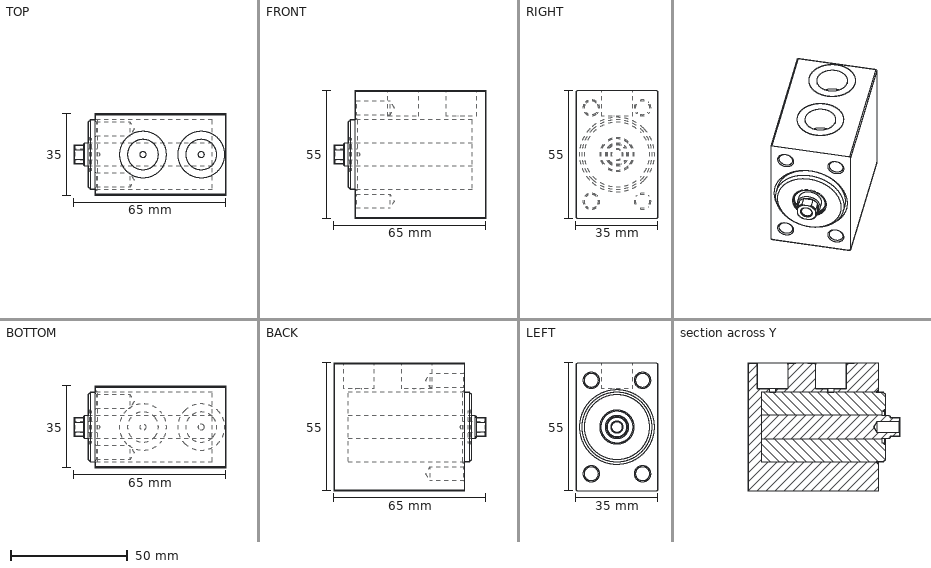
import cadquery as cq
import math


total_length = 65.0
protrusion = 9.05
housing_length = total_length - protrusion
housing_width = 35.0
housing_height = 55.0
edge_chamfer = 0.5

bore_diameter = 29.95
bore_depth = 50.05
mouth_chamfer = 1.05
gland_stand_out = 3.0
gland_chamfer = 1.05
wiper_outer_diameter = 14.7
wiper_outer_depth = 0.5
wiper_inner_diameter = 13.65
wiper_depth = 1.5

rod_diameter = 10.0
rod_chamfer = 0.5
neck_diameter = 9.0
neck_length = 4.0
neck_across_flats = 8.0
tip_chamfer = 0.3
tip_hole_diameter = 4.55
tip_hole_mouth_diameter = 5.2
tip_hole_depth = 9.75

mount_pitch_y = 22.0
mount_pitch_z = 40.05
mount_diameter = 6.0
mount_mouth_diameter = 7.0
mount_depth = 14.95

port_first_x = 20.5
port_pitch = 24.95
port_diameter = 13.1
port_depth = 11.05
spotface_diameter = 20.0
spotface_depth = 0.1
feed_diameter = 2.6

drill_point_angle = 118.0

gland_face_x = -gland_stand_out
neck_root_x = neck_length - protrusion
port_xs = [port_first_x, port_first_x + port_pitch]


def cylinder_x(diameter, start_x, end_x):
    """A solid cylinder on the X axis."""
    return cq.Workplane("YZ", origin=(start_x, 0, 0)).circle(diameter / 2).extrude(end_x - start_x)


def cylinder_down(x, diameter, top_z, bottom_z):
    """A solid vertical cylinder in the plane Y = 0."""
    return cq.Workplane("XY", origin=(x, 0, top_z)).circle(diameter / 2).extrude(bottom_z - top_z)


def drilled_hole(start_x, diameter, mouth_diameter, depth):
    """A blind hole along +X with a 45 degree countersunk mouth and a conical drill point."""
    radius = diameter / 2
    mouth_radius = mouth_diameter / 2
    point_length = radius / math.tan(math.radians(drill_point_angle / 2))
    return (
        cq.Workplane("XY", origin=(start_x, 0, 0))
        .lineTo(0, mouth_radius)
        .lineTo(mouth_radius - radius, radius)
        .lineTo(depth, radius)
        .lineTo(depth + point_length, 0)
        .close()
        .revolve(360, (0, 0, 0), (1, 0, 0))
    )


def make_bore():
    """The housing bore with a 45 degree chamfer at its mouth."""
    radius = bore_diameter / 2
    return (
        cq.Workplane("XY")
        .lineTo(0, radius + mouth_chamfer)
        .lineTo(mouth_chamfer, radius)
        .lineTo(bore_depth, radius)
        .lineTo(bore_depth, 0)
        .close()
        .revolve(360, (0, 0, 0), (1, 0, 0))
    )


def make_port(x):
    """An oil port: shallow spotface, main hole and a feed hole that reaches the bore."""
    top_z = housing_height / 2
    spotface = cylinder_down(x, spotface_diameter, top_z, top_z - spotface_depth)
    port = cylinder_down(x, port_diameter, top_z, top_z - port_depth)
    feed = cylinder_down(x, feed_diameter, top_z, 0)
    return spotface.union(port).union(feed)


def make_housing():
    """A block with chamfered long edges, the bore, four mounting holes and two ports."""
    body = (
        cq.Workplane("XY")
        .box(housing_length, housing_width, housing_height, centered=(False, True, True))
        .edges("|X")
        .chamfer(edge_chamfer)
        .cut(make_bore())
    )
    mount_hole = drilled_hole(0, mount_diameter, mount_mouth_diameter, mount_depth)
    for y in (-mount_pitch_y / 2, mount_pitch_y / 2):
        for z in (-mount_pitch_z / 2, mount_pitch_z / 2):
            body = body.cut(mount_hole.translate((0, y, z)))
    for x in port_xs:
        body = body.cut(make_port(x))
    return body


def make_gland():
    """Fills the bore and stands out of it, with a stepped recess around the rod."""
    body = cylinder_x(bore_diameter, gland_face_x, bore_depth).faces("<X").chamfer(gland_chamfer)
    rod_hole = cylinder_x(rod_diameter, gland_face_x, bore_depth)
    outer_step = cylinder_x(wiper_outer_diameter, gland_face_x, gland_face_x + wiper_outer_depth)
    inner_step = cylinder_x(wiper_inner_diameter, gland_face_x, gland_face_x + wiper_depth)
    return body.cut(rod_hole).cut(outer_step).cut(inner_step)


def make_rod():
    """Runs from the bore floor through the gland to a neck with four wrench flats."""
    shank = cylinder_x(rod_diameter, neck_root_x, bore_depth).faces("<X").chamfer(rod_chamfer)
    flats = cq.Workplane("YZ", origin=(-protrusion, 0, 0)).rect(neck_across_flats, neck_across_flats)
    neck = (
        cylinder_x(neck_diameter, -protrusion, neck_root_x)
        .faces("<X")
        .chamfer(tip_chamfer)
        .intersect(flats.extrude(neck_length))
    )
    tip_hole = drilled_hole(-protrusion, tip_hole_diameter, tip_hole_mouth_diameter, tip_hole_depth)
    return shank.union(neck).cut(tip_hole)


housing = make_housing()
gland = make_gland()
rod = make_rod()

result = cq.Compound.makeCompound([housing.val(), gland.val(), rod.val()])